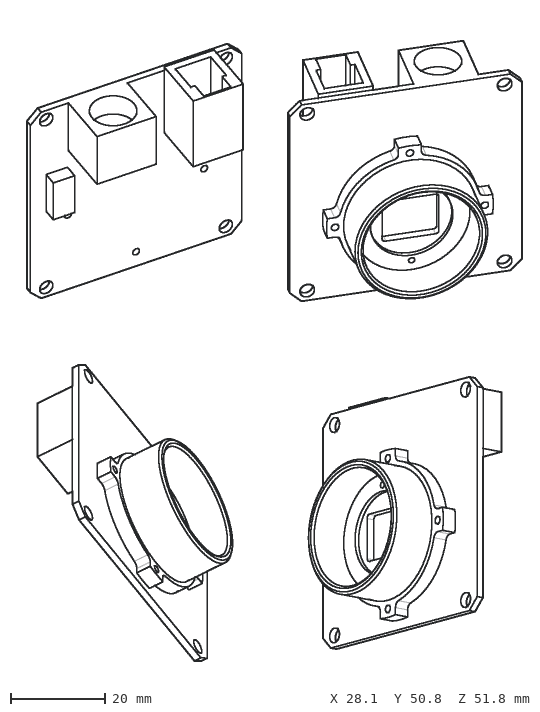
import cadquery as cq


board_width = 50.8
board_top = 30.5
board_bottom = -20.3
board_thickness = 1.6
board_corner = 2.6
corner_hole_diameter = 3.15
corner_hole_inset_y = 3.85
corner_hole_inset_z = 2.55

mount_length = 13.55
flange_thickness = 3.35
flange_radius = 15.6
tab_radius = 18.25
tab_width = 5.0
tab_fillet = 1.35
tab_hole_diameter = 1.6
tab_hole_radius = 16.35
barrel_radius = 14.5
barrel_chamfer = 0.5
bore_radius = 12.75
bore_depth = 8.7
bore_chamfer = 0.5

seat_radius = 9.0
seat_depth = 1.0
window_width = 12.45
window_height = 10.25
window_corner = 0.8
window_depth = 1.85
pin_hole_diameter = 1.3
pin_hole_radius = 10.35
pin_hole_depth = 3.1

jack_depth = 13.0
jack_width = 12.0
jack_center_y = 12.75
jack_height = 17.9
jack_overhang = 1.0
jack_port_inset = 1.7
jack_port_depth = 6.95
jack_port_width = 8.5
jack_key_depth = 3.95
jack_key_width = 6.55
jack_port_drop = 10.35

socket_depth = 12.8
socket_width = 14.2
socket_center_y = -9.15
socket_height = 13.0
socket_hole_diameter = 10.05
socket_hole_x = 6.8
socket_hole_drop = 4.95

chip_depth = 3.2
chip_width = 5.15
chip_height = 10.05
chip_center_y = -19.05
chip_top = 13.05


def plane_at(x):
    """Work plane normal to X, with local x along Y and local y along Z."""
    return cq.Workplane("YZ", origin=(x, 0, 0))


def block(x_size, y_size, z_size, y_center, z_top):
    """Block standing on the back face of the board."""
    corner = (board_thickness, y_center, z_top - z_size)
    return cq.Workplane("XY", origin=corner).box(x_size, y_size, z_size, centered=(False, True, False))


def make_board():
    height = board_top - board_bottom
    middle_z = (board_top + board_bottom) / 2
    return (
        plane_at(0)
        .center(0, middle_z)
        .rect(board_width, height)
        .extrude(board_thickness)
        .edges("|X")
        .chamfer(board_corner)
        .faces("<X")
        .workplane(origin=(0, 0, middle_z))
        .rect(
            board_width - 2 * corner_hole_inset_y,
            height - 2 * corner_hole_inset_z,
            forConstruction=True,
        )
        .vertices()
        .hole(corner_hole_diameter)
    )


def make_mount():
    start = plane_at(-flange_thickness)
    disc = start.circle(flange_radius).extrude(flange_thickness)
    reach = start.circle(tab_radius).extrude(flange_thickness)
    bar_length = 2 * tab_radius + tab_width
    bars = start.rect(tab_width, bar_length).extrude(flange_thickness)
    bars = bars.union(start.rect(bar_length, tab_width).extrude(flange_thickness))
    half = (flange_radius + tab_radius) / 2
    inner = cq.selectors.BoxSelector((-mount_length, -half, -half), (mount_length, half, half))
    flange = disc.union(bars.intersect(reach)).edges("|X").edges(inner).fillet(tab_fillet)
    barrel = (
        plane_at(-mount_length)
        .circle(barrel_radius)
        .extrude(mount_length)
        .faces("<X")
        .chamfer(barrel_chamfer)
    )
    return flange.union(barrel)


def cut_optics(body):
    front = plane_at(-mount_length)
    bore = front.circle(bore_radius).extrude(bore_depth)
    entry = front.circle(bore_radius + bore_chamfer).extrude(bore_chamfer, taper=45)
    floor = plane_at(bore_depth - mount_length)
    seat = floor.circle(seat_radius).extrude(seat_depth)
    window = (
        floor.rect(window_width, window_height)
        .extrude(seat_depth + window_depth)
        .edges("|X")
        .fillet(window_corner)
    )
    pin_holes = (
        floor.pushPoints([(0, pin_hole_radius), (0, -pin_hole_radius)])
        .circle(pin_hole_diameter / 2)
        .extrude(pin_hole_depth)
    )
    for tool in (bore, entry, seat, window, pin_holes):
        body = body.cut(tool)
    return body


def cut_tab_holes(body):
    holes = (
        plane_at(-flange_thickness)
        .polarArray(tab_hole_radius, 0, 360, 4)
        .circle(tab_hole_diameter / 2)
        .extrude(flange_thickness + board_thickness)
    )
    return body.cut(holes)


def make_jack():
    top = board_top + jack_overhang
    jack = block(jack_depth, jack_width, jack_height, jack_center_y, top)
    port = block(jack_port_depth, jack_port_width, jack_port_drop, jack_center_y, top)
    key = block(jack_port_depth + jack_key_depth, jack_key_width, jack_port_drop, jack_center_y, top)
    return jack.cut(port.union(key).translate((jack_port_inset, 0, 0)))


def make_socket():
    socket = block(socket_depth, socket_width, socket_height, socket_center_y, board_top)
    hole = (
        cq.Workplane("XY", origin=(board_thickness + socket_hole_x, socket_center_y, board_top))
        .circle(socket_hole_diameter / 2)
        .extrude(-socket_hole_drop)
    )
    return socket.cut(hole)


chip = block(chip_depth, chip_width, chip_height, chip_center_y, chip_top)
result = make_board().union(make_mount()).union(make_jack()).union(make_socket()).union(chip)
result = cut_tab_holes(cut_optics(result))